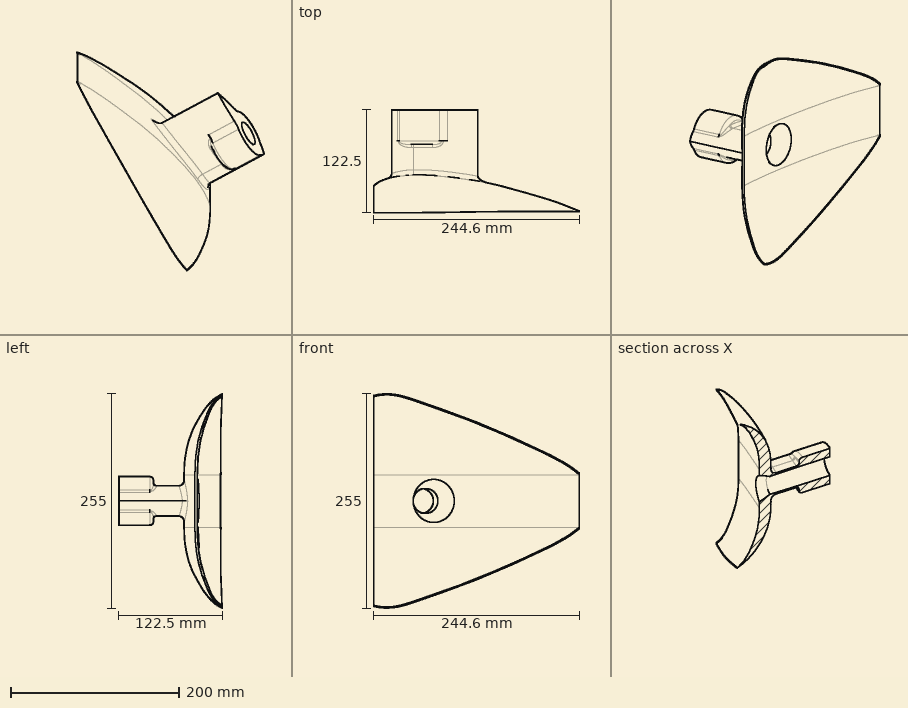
import cadquery as cq
import math

STRIP_HALF_WIDTH = 31.0
SHOULDER_RUN = 0.75
SHOULDER_RISE = 0.58
RIM_FLARE = 0.45
RIM_WIDTH = 1.0
CAVITY_FLANK_OVERRUN = 0.8
CAVITY_FLOOR_Y = -5.0

SHELL_SECTIONS = [
    (0.0, 32.4, 29.3, 0.0, 125.5),
    (7.6, 37.7, 29.8, 0.0, 127.0),
    (21.5, 42.3, 30.0, 0.0, 127.2),
    (56.0, 45.4, 29.5, 0.3, 117.7),
    (96.8, 42.0, 27.3, 0.8, 103.5),
    (140.2, 35.0, 23.0, 1.5, 86.5),
    (191.0, 21.2, 15.3, 1.5, 63.7),
    (216.5, 13.3, 9.7, 1.5, 51.2),
    (232.0, 7.5, 4.8, 1.5, 42.3),
    (244.6, 2.3, 1.8, 1.3, 33.0),
]
HIGHEST_CROWN_Y = max(crown for _, crown, *_ in SHELL_SECTIONS)

POST_NOSE_X = 21.5
POST_BACK_X = 123.8
POST_HALF_WIDTH = 18.0
POST_NOSE_LENGTH = 25.5
POST_ROOT_Y = 33.1
POST_END_Y = 122.5
POST_ROOT_FILLET = 6.4

HEAD_X = 56.0
HEAD_RADIUS = 29.0
HEAD_BASE_Y = 81.5
HEAD_TAIL_BLEND = 17.8
HEAD_NOSE_BLEND = 10.2
HEAD_EDGE_ROUND = 4.5
HEAD_BASE_FILLET = 3.5

BORE_RADIUS = 14.8
BORE_NECK_X = 61.7
BORE_NECK_Y = 43.3
FUNNEL_MOUTH_X = 71.9
FUNNEL_MOUTH_Y = 26.8
FUNNEL_HALF_LENGTH = 24.7
FUNNEL_HALF_HEIGHT = 27.3

EDGE_MARGIN = 1.3


def section_wire(x, crown, rim, half_width, floor):
    """Closed cross-section at x: flat strip, curved flanks down to the rim, straight base at the floor."""
    run = half_width - STRIP_HALF_WIDTH
    shoulder_y = rim + SHOULDER_RISE * (crown - rim)
    shoulder_z = STRIP_HALF_WIDTH + SHOULDER_RUN * run

    def flank(side):
        points = [
            cq.Vector(x, crown, side * STRIP_HALF_WIDTH),
            cq.Vector(x, shoulder_y, side * shoulder_z),
            cq.Vector(x, rim, side * half_width),
        ]
        directions = [cq.Vector(0, 0, side), cq.Vector(0, -1, side * RIM_FLARE)]
        return cq.Edge.makeSpline(points, tangents=directions)

    upper = flank(1)
    lower = flank(-1)
    base_points = [upper.endPoint(), lower.endPoint()]
    if floor < rim:
        base_points.insert(1, cq.Vector(x, floor, half_width))
        base_points.insert(2, cq.Vector(x, floor, -half_width))
    strip = cq.Edge.makeLine(lower.startPoint(), upper.startPoint())
    base = [cq.Edge.makeLine(start, end) for start, end in zip(base_points, base_points[1:])]
    return cq.Wire.assembleEdges([strip, upper, *base, lower])


def loft(wires):
    return cq.Workplane(cq.Solid.makeLoft(wires))


def make_shell():
    outer = []
    cavity = []
    for x, crown, inner_crown, rim, half_width in SHELL_SECTIONS:
        outer.append(section_wire(x, crown, rim, half_width, rim))
        cavity_rim = rim - CAVITY_FLANK_OVERRUN
        cavity_half_width = half_width - RIM_WIDTH
        cavity.append(section_wire(x, inner_crown, cavity_rim, cavity_half_width, CAVITY_FLOOR_Y))
    return loft(outer).cut(loft(cavity))


def xz_plane(y):
    """Sketch plane at height y with local X along X, local Y along Z, extruding towards -Y."""
    return cq.Workplane("XZ", origin=(0, y, 0))


def make_post(root_y):
    """Post from root_y to its free end."""
    widest_x = POST_NOSE_X + POST_NOSE_LENGTH
    tail_length = POST_BACK_X - widest_x

    def arc_middle(length):
        """Offsets from the widest point to halfway along an arc of the given length."""
        radius = (length**2 + POST_HALF_WIDTH**2) / (2 * POST_HALF_WIDTH)
        half_run = length / 2
        return half_run, POST_HALF_WIDTH - radius + math.sqrt(radius**2 - half_run**2)

    nose_run, nose_z = arc_middle(POST_NOSE_LENGTH)
    tail_run, tail_z = arc_middle(tail_length)
    return (
        xz_plane(POST_END_Y)
        .moveTo(POST_NOSE_X, 0)
        .threePointArc((widest_x - nose_run, nose_z), (widest_x, POST_HALF_WIDTH))
        .threePointArc((widest_x + tail_run, tail_z), (POST_BACK_X, 0))
        .threePointArc((widest_x + tail_run, -tail_z), (widest_x, -POST_HALF_WIDTH))
        .threePointArc((widest_x - nose_run, -nose_z), (POST_NOSE_X, 0))
        .close()
        .extrude(POST_END_Y - root_y)
    )


def between(x_range, y_range, z_range):
    """Selector for whatever has its centre inside the given box."""
    return cq.selectors.BoxSelector(*zip(x_range, y_range, z_range))


def make_head_disc(base_y):
    return xz_plane(POST_END_Y).center(HEAD_X, 0).circle(HEAD_RADIUS).extrude(POST_END_Y - base_y)


def make_rounded_head(post):
    """Post with the disc-shaped head, its base edge rounded and its joint with the post filleted."""
    disc = make_head_disc(HEAD_BASE_Y).faces("<Y").edges().fillet(HEAD_EDGE_ROUND)
    body = post.union(disc)
    joint = between(
        (POST_NOSE_X + EDGE_MARGIN, POST_BACK_X - EDGE_MARGIN),
        (HEAD_BASE_Y - EDGE_MARGIN, POST_END_Y - EDGE_MARGIN),
        (-HEAD_RADIUS, HEAD_RADIUS),
    )
    return body.edges(joint).fillet(HEAD_BASE_FILLET)


def make_head_flanks():
    """Concave blends that lead the sides of the head into the post, above its rounded base edge."""
    base_y = HEAD_BASE_Y + HEAD_EDGE_ROUND
    body = make_post(base_y).union(make_head_disc(base_y))
    upright = (base_y + EDGE_MARGIN, POST_END_Y - EDGE_MARGIN)
    for z_range in ((EDGE_MARGIN, HEAD_RADIUS), (-HEAD_RADIUS, -EDGE_MARGIN)):
        tail_corner = between((HEAD_X, POST_BACK_X), upright, z_range)
        nose_corner = between((POST_NOSE_X, HEAD_X), upright, z_range)
        body = body.edges(tail_corner).fillet(HEAD_TAIL_BLEND)
        body = body.edges(nose_corner).fillet(HEAD_NOSE_BLEND)
    return body


def make_bore():
    """Cutter for the funnel, from its oval mouth to the neck, and the tube from there to the end."""
    along_y = cq.Vector(0, 1, 0)
    mouth = cq.Wire.makeEllipse(
        FUNNEL_HALF_HEIGHT,
        FUNNEL_HALF_LENGTH,
        cq.Vector(FUNNEL_MOUTH_X, FUNNEL_MOUTH_Y, 0),
        along_y,
        cq.Vector(0, 0, 1),
    )
    neck = cq.Wire.makeCircle(BORE_RADIUS, cq.Vector(BORE_NECK_X, BORE_NECK_Y, 0), along_y)
    end = cq.Wire.makeCircle(BORE_RADIUS, cq.Vector(HEAD_X, POST_END_Y, 0), along_y)
    return loft([mouth, neck]).union(loft([neck, end]))


def fillet_post_root(body):
    """Fillet the joint between the post and the crown of the shell."""
    root = between(
        (POST_NOSE_X, POST_BACK_X),
        (POST_ROOT_Y, HIGHEST_CROWN_Y + EDGE_MARGIN),
        (-POST_HALF_WIDTH, POST_HALF_WIDTH),
    )
    return body.edges(root).fillet(POST_ROOT_FILLET)


post = make_post(POST_ROOT_Y)
result = fillet_post_root(make_shell().union(post))
result = result.union(make_rounded_head(post)).union(make_head_flanks())
result = result.cut(make_bore())